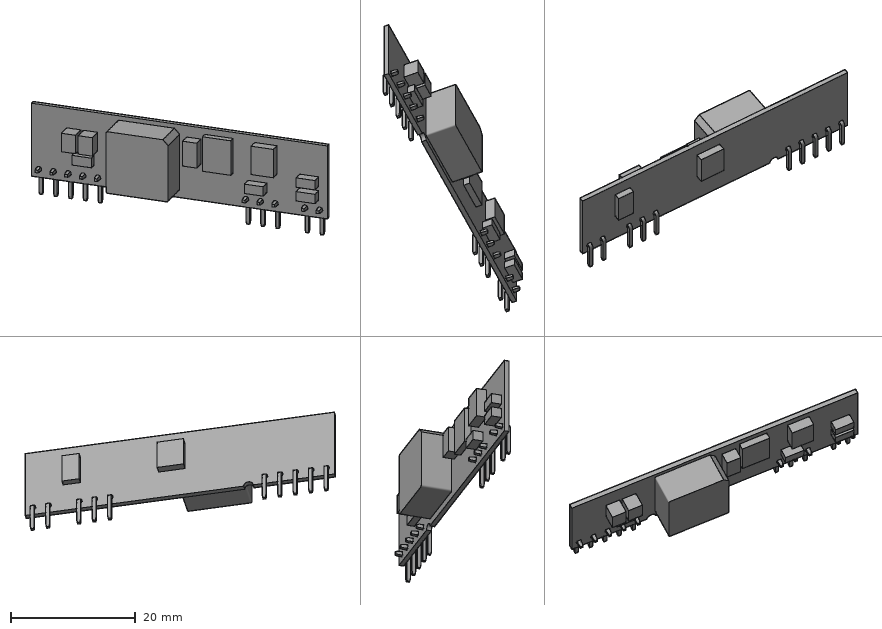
import cadquery as cq

BOARD_LENGTH = 50.8
BOARD_HEIGHT = 12.7
BOARD_THICKNESS = 0.8
NOTCH_X = 14.1
NOTCH_RADIUS = 0.75

PIN_PITCH = 2.55
FIRST_PIN_X = PIN_PITCH / 2
PIN_SLOTS = (0, 1, 2, 3, 4, 14, 15, 16, 18, 19)
PIN_WIDTH = 0.6
PIN_Z = 1.4
PIN_FRONT_REACH = 1.05
PIN_DROP = 3.3
PIN_BEND_RADIUS = PIN_WIDTH
TIP_LENGTH = 0.45
TIP_WIDTH = 0.45
PIN_HOLE_DIAMETER = 0.9

INDUCTOR_X = 14.8
INDUCTOR_Z = 1.2
INDUCTOR_WIDTH = 10.65
INDUCTOR_HEIGHT = 10.7
INDUCTOR_DEPTH = 5.2
INDUCTOR_CHAMFER = 0.9
INDUCTOR_CORNER_RADIUS = 0.3

TALL_CAPACITOR = (2.45, 3.2, 2.45)
LOW_CAPACITOR = (3.35, 1.7, 1.2)
RESISTOR = (3.25, 1.65, 1.7)
DIODE = (2.45, 4.3, 1.9)
CONTROLLER = (4.9, 6.0, 1.05)
REGULATOR = (3.8, 4.95, 1.7)
BACK_CHIP = (4.3, 5.2, 1.2)
BACK_DIODE = (2.85, 5.2, 1.0)

RESISTOR_ROW_Z = 3.1
CAPACITOR_ROW_Z = 6.1
BACK_ROW_Z = 5.25
FRONT_PARTS = (
    (TALL_CAPACITOR, 6.05, CAPACITOR_ROW_Z),
    (TALL_CAPACITOR, 8.95, CAPACITOR_ROW_Z),
    (LOW_CAPACITOR, 7.4, 3.5),
    (DIODE, 26.65, 6.4),
    (CONTROLLER, 29.75, 5.65),
    (REGULATOR, 38.35, 6.55),
    (RESISTOR, 37.2, RESISTOR_ROW_Z),
    (RESISTOR, 46.1, RESISTOR_ROW_Z),
    (RESISTOR, 46.1, 5.5),
)
BACK_PARTS = (
    (BACK_CHIP, 24.55, BACK_ROW_Z),
    (BACK_DIODE, 41.7, BACK_ROW_Z),
)


def block(x, y, z, width, depth, height):
    """Box given by its corner of least X, Y and Z."""
    return cq.Workplane("XY").box(width, depth, height, centered=False).translate((x, y, z))


def make_board():
    """Plate with a half-round notch in its bottom edge and a hole for each pin."""
    board = block(0, 0, 0, BOARD_LENGTH, BOARD_THICKNESS, BOARD_HEIGHT)
    hole_centers = [(x, PIN_Z) for x in pin_positions()]
    holes = cq.Workplane("XZ").pushPoints(hole_centers).circle(PIN_HOLE_DIAMETER / 2)
    notch = cq.Workplane("XZ").center(NOTCH_X, 0).circle(NOTCH_RADIUS)
    return board.cut(holes.extrude(-BOARD_THICKNESS)).cut(notch.extrude(-BOARD_THICKNESS))


def pin_positions():
    return [FIRST_PIN_X + slot * PIN_PITCH for slot in PIN_SLOTS]


def make_pin():
    """Bent pin centred on X = 0, with both ends tapered."""
    leg_back = BOARD_THICKNESS + PIN_WIDTH
    leg_center = BOARD_THICKNESS + PIN_WIDTH / 2
    shank_end = TIP_LENGTH - PIN_FRONT_REACH
    leg_end = TIP_LENGTH - PIN_DROP
    shank = block(-PIN_WIDTH / 2, shank_end, PIN_Z - PIN_WIDTH / 2,
                  PIN_WIDTH, leg_back - shank_end, PIN_WIDTH)
    leg = block(-PIN_WIDTH / 2, BOARD_THICKNESS, leg_end,
                PIN_WIDTH, PIN_WIDTH, PIN_Z + PIN_WIDTH / 2 - leg_end)
    bend = shank.union(leg).edges("|X and >Y and >Z").fillet(PIN_BEND_RADIUS)
    front_tip = taper(cq.Plane((0, shank_end, PIN_Z), (1, 0, 0), (0, -1, 0)))
    leg_tip = taper(cq.Plane((0, leg_center, leg_end), (1, 0, 0), (0, 0, -1)))
    return bend.union(front_tip).union(leg_tip)


def taper(plane):
    """Square pin end narrowing along the plane's normal."""
    wide_end = cq.Workplane(plane).rect(PIN_WIDTH, PIN_WIDTH)
    return wide_end.workplane(offset=TIP_LENGTH).rect(TIP_WIDTH, TIP_WIDTH).loft(ruled=True)


def make_inductor():
    body = block(INDUCTOR_X, -INDUCTOR_DEPTH, INDUCTOR_Z,
                 INDUCTOR_WIDTH, INDUCTOR_DEPTH, INDUCTOR_HEIGHT)
    body = body.edges("|Y and >X and >Z").chamfer(INDUCTOR_CHAMFER)
    return body.edges("(|Y and <X) or (|Y and >X and <Z)").fillet(INDUCTOR_CORNER_RADIUS)


result = make_board().union(make_inductor())

for (width, height, depth), x, z in FRONT_PARTS:
    result = result.union(block(x, -depth, z, width, depth, height))

for (width, height, depth), x, z in BACK_PARTS:
    result = result.union(block(x, BOARD_THICKNESS, z, width, depth, height))

pin = make_pin()
for x in pin_positions():
    result = result.union(pin.translate((x, 0, 0)))